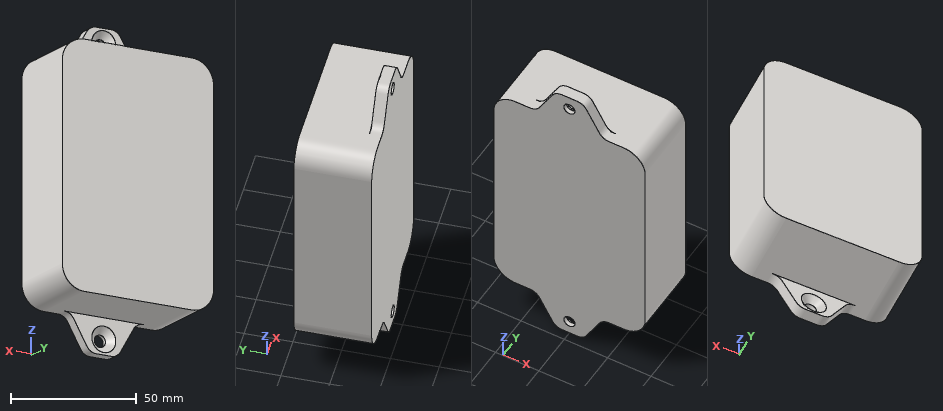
import cadquery as cq
import math

total_height = 136.0
body_width = 69.9
body_depth = 32.0
body_height = 105.0
corner_radius = 10.0

ear_thickness = 5.0
ear_tip_width = 12.8
ear_flank_angle = 60.0
ear_radius = 5.0
hole_diameter = 5.0
hole_spacing = 123.0
countersink_depth = 3.0
countersink_diameter = hole_diameter + 2 * countersink_depth

body_top = body_height / 2
ear_top = total_height / 2
ear_height = ear_top - body_top
ear_base_width = ear_tip_width + 2 * ear_height / math.tan(math.radians(ear_flank_angle))


def make_body():
    """Solid box with its four edges along Y rounded, front face at Y = 0."""
    return (
        cq.Workplane("XZ")
        .rect(body_width, body_height)
        .extrude(-body_depth)
        .edges("|Y")
        .fillet(corner_radius)
    )


def make_ear_plate():
    """Plate carrying both ears: tapered tips above and below the body outline."""
    half_body = body_width / 2 - corner_radius
    half_base = ear_base_width / 2
    half_tip = ear_tip_width / 2
    upper_edge = [
        (half_body, body_top),
        (half_base, body_top),
        (half_tip, ear_top),
        (-half_tip, ear_top),
        (-half_base, body_top),
        (-half_body, body_top),
    ]
    lower_edge = [(-x, -z) for x, z in upper_edge]
    plate = cq.Workplane("XZ").polyline(upper_edge + lower_edge).close().extrude(-ear_thickness)
    rounding_limit = (half_base + half_body) / 2
    ear_edges = plate.edges("|Y").filter(lambda edge: abs(edge.Center().x) < rounding_limit)
    return plate.newObject(ear_edges.vals()).fillet(ear_radius)


def make_screw_hole(hole_z):
    """Cutter for one through hole, countersunk from the +Y side of the ear."""
    bore = cq.Workplane("XZ").center(0, hole_z).circle(hole_diameter / 2).extrude(-ear_thickness)
    countersink = cq.Solid.makeCone(
        hole_diameter / 2,
        countersink_diameter / 2,
        countersink_depth,
        pnt=cq.Vector(0, ear_thickness - countersink_depth, hole_z),
        dir=cq.Vector(0, 1, 0),
    )
    return bore.union(cq.Workplane(obj=countersink))


result = make_body().union(make_ear_plate())
for hole_z in (hole_spacing / 2, -hole_spacing / 2):
    result = result.cut(make_screw_hole(hole_z))